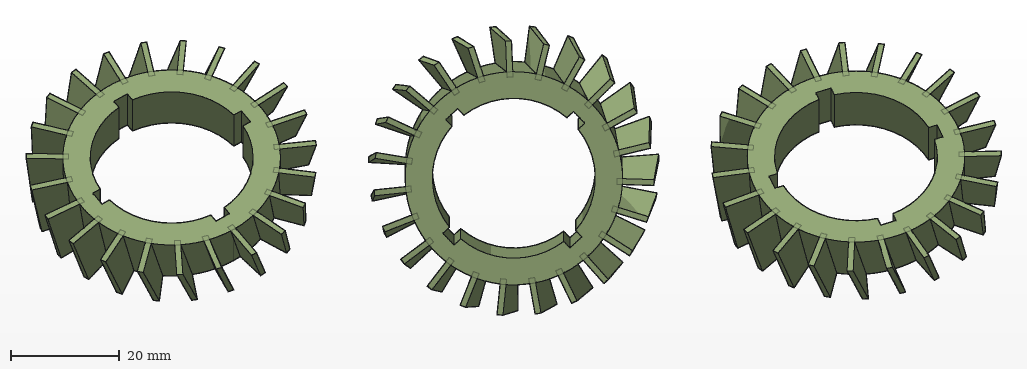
import cadquery as cq
import math

overall_size = 53.55
height = 9.7
hub_radius = 20.0
bore_radius = 15.0
keyway_width = 3.0
keyway_reach = 16.6
keyway_count = 4

blade_count = 23
blade_thickness = 1.1
blade_root_radius = 19.0
blade_bottom_tip_radius = 25.8
blade_twist = 6.2

blade_pitch = 360.0 / blade_count
quarter_pitch = math.radians(blade_pitch / 4)
corner_rise = blade_thickness / 2 * math.sin(quarter_pitch)
blade_top_tip_radius = (overall_size / 2 - corner_rise) / math.cos(quarter_pitch)


def make_hub():
    """Plain ring with keyways cut along the full height of the bore."""
    hub = cq.Workplane("XY").circle(hub_radius).circle(bore_radius).extrude(height)
    keyway = cq.Workplane("XY").rect(keyway_reach, keyway_width).extrude(height)
    keyway = keyway.translate((keyway_reach / 2, 0, 0))
    for index in range(keyway_count):
        hub = hub.cut(keyway.rotate((0, 0, 0), (0, 0, 1), index * 360.0 / keyway_count))
    return hub


def blade_section(z, tip_radius, angle):
    """Rectangular blade section at height z, pointing outwards at the given angle."""
    length = tip_radius - blade_root_radius
    middle = blade_root_radius + length / 2
    return (
        cq.Workplane("XY", origin=(0, 0, z))
        .transformed(rotate=(0, 0, angle))
        .center(middle, 0)
        .rect(length, blade_thickness)
        .wire()
        .val()
    )


def make_blade():
    """Twisted blade whose tip tapers inwards towards the bottom."""
    bottom = blade_section(0, blade_bottom_tip_radius, blade_twist)
    top = blade_section(height, blade_top_tip_radius, 0)
    return cq.Workplane(cq.Solid.makeLoft([bottom, top], True))


result = make_hub()
blade = make_blade()
for index in range(blade_count):
    result = result.union(blade.rotate((0, 0, 0), (0, 0, 1), index * blade_pitch), clean=False)